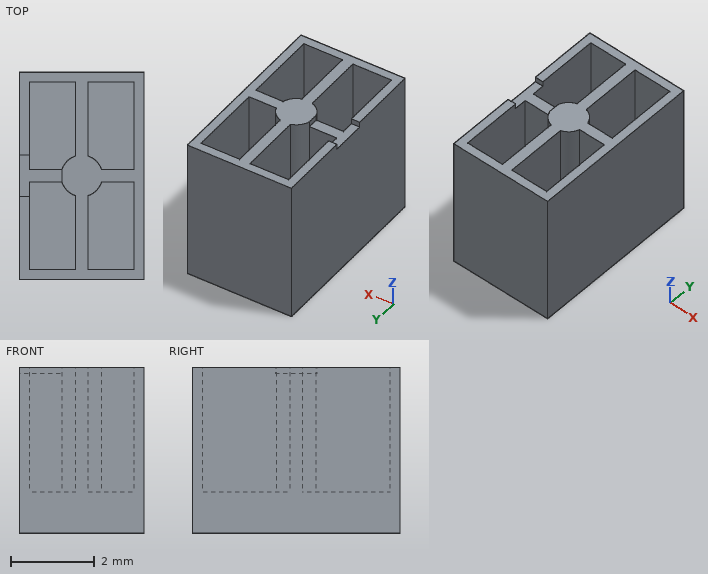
import cadquery as cq
import math

width = 3.0
length = 5.0
height = 4.0

wall = 0.24
rib = 0.3
floor = 1.0
post_diameter = 1.0

notch_width = 1.0
notch_depth = 0.15

pocket_depth = height - floor
pocket_x = (width - 2 * wall - rib) / 2
pocket_y = (length - 2 * wall - rib) / 2


def block(size_x, size_y, size_z):
    """Box centred in X and Y, standing on Z = 0."""
    return cq.Workplane("XY").box(size_x, size_y, size_z, centered=(True, True, False))


def post(bottom, post_height):
    """Round central post starting at the given height."""
    return cq.Workplane("XY").workplane(offset=bottom).circle(post_diameter / 2).extrude(post_height)


pockets = (
    cq.Workplane("XY")
    .workplane(offset=floor)
    .rarray(pocket_x + rib, pocket_y + rib, 2, 2)
    .rect(pocket_x, pocket_y)
    .extrude(pocket_depth)
    .cut(post(floor, pocket_depth))
)

flat_x = math.sqrt((post_diameter / 2) ** 2 - (rib / 2) ** 2)
notch_bottom = height - notch_depth


def notch_cut(end_x, size_y):
    """Cut from the -X face to end_x, notch_depth deep from the top."""
    start_x = -width / 2
    return block(end_x - start_x, size_y, notch_depth).translate(((start_x + end_x) / 2, 0, notch_bottom))


wall_notch = notch_cut(-width / 2 + wall, notch_width)
rib_notch = notch_cut(-flat_x, rib)

result = block(width, length, height).cut(pockets).cut(wall_notch).cut(rib_notch)